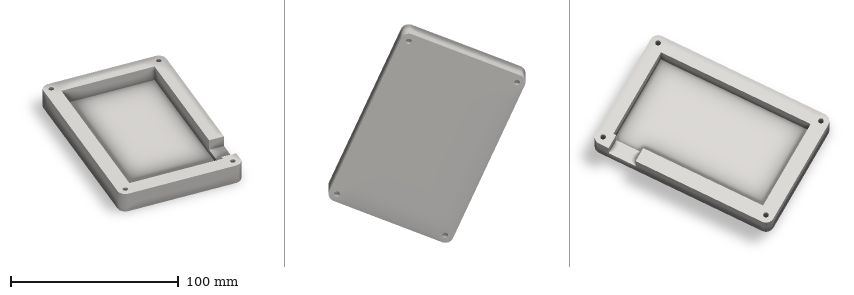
import cadquery as cq

length = 120.0
width = 80.1
height = 13.0
corner_radius = 5.0

pocket_length = 101.0
pocket_width = 60.7
floor_thickness = 3.0

notch_start_x = 30.3
notch_width = 18.2
notch_depth = 7.0

hole_diameter = 3.4


def block():
    """Flat-bottomed block with rounded vertical corners."""
    body = cq.Workplane("XY").box(length, width, height, centered=(True, True, False))
    return body.edges("|Z").fillet(corner_radius)


def pocket():
    """Cutter for the central pocket, up to the top face."""
    pocket_depth = height - floor_thickness
    return (
        cq.Workplane("XY")
        .workplane(offset=floor_thickness)
        .box(pocket_length, pocket_width, pocket_depth, centered=(True, True, False))
    )


def notch():
    """Cutter for the notch, from the pocket centreline out past the +Y face."""
    return (
        cq.Workplane("XY")
        .workplane(offset=height - notch_depth)
        .box(notch_width, width, notch_depth, centered=False)
        .translate((notch_start_x, 0, 0))
    )


def screw_holes():
    """Cutters for the four through holes."""
    return (
        cq.Workplane("XY")
        .rect(length - 2 * corner_radius, width - 2 * corner_radius, forConstruction=True)
        .vertices()
        .circle(hole_diameter / 2)
        .extrude(height)
    )


result = block().cut(pocket()).cut(notch()).cut(screw_holes())